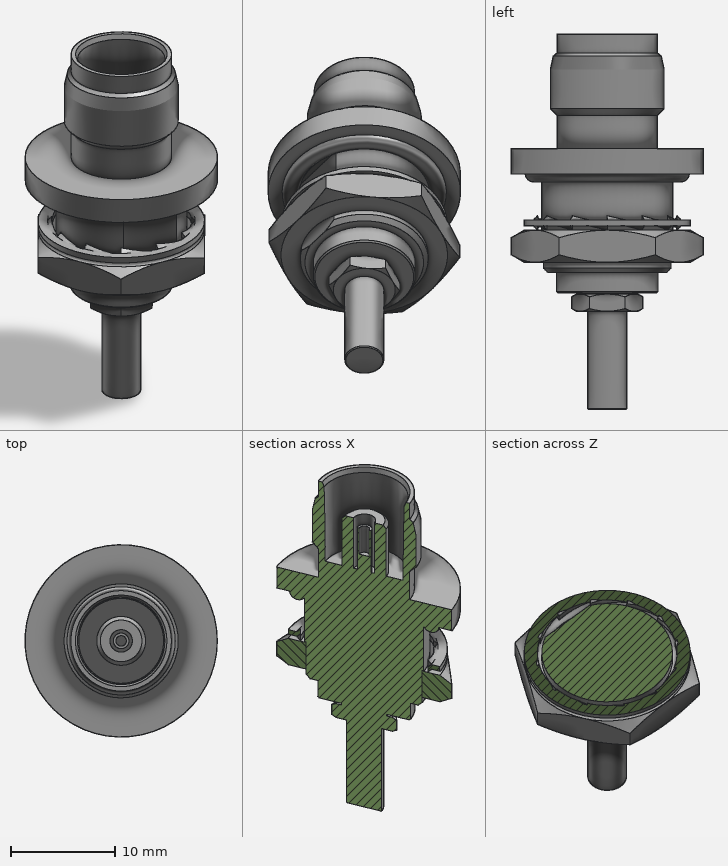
import cadquery as cq
import math


overall_length = 36.1
rim_z = 13.47
barrel_radius = 4.83
collar_radius = 5.48
collar_shoulder_radius = 5.2
collar_top_z = 11.65
collar_shoulder_z = 11.35
collar_taper_end_z = 10.05
collar_bottom_z = 6.3
collar_chamfer = collar_radius - barrel_radius

cup_mouth_radius = 4.4
cup_step_radius = 4.2
cup_floor_radius = 4.08
cup_step_depth = 0.5
cup_depth = 9.0

post_radius = 2.35
post_chamfer = 0.35
post_depth = 3.23
post_bore_radius = 1.08
contact_radius = 0.75
contact_bore_radius = 0.5
contact_recess = 1.0
contact_bore_depth = 3.0

flange_radius = 9.25
flange_thickness = 2.45
bead_ring_radius = 7.05
bead_section_radius = 0.85
bead_drop = 0.75

shank_radius = 6.3
thread_radius = 6.15
thread_chamfer = 0.45
thread_bottom_z = -9.45
flat_x = 5.57
rear_radius = 4.9
rear_bottom_z = -11.4
rear_chamfer = 0.15
crimp_hex_across_flats = 5.95
crimp_neck_radius = 2.4
crimp_neck_length = 0.12
crimp_hex_bottom_z = -13.17
tube_radius = 1.88
tube_chamfer = 0.1
tube_bottom_z = rim_z - overall_length

nut_across_flats = 16.0
nut_height = 3.08
nut_top_z = -5.38
hex_chamfer_angle = 30.0

washer_radius = 8.0
washer_inner_radius = 7.1
washer_thickness = 0.58
washer_mid_z = -4.68
tooth_count = 12
tooth_tip_radius = 6.7
tooth_root_overlap = 0.3
tooth_tip_lift = 0.4
tooth_sections = 4


def revolve_profile(points):
    """Revolve a closed (radius, z) outline about the Z axis."""
    return cq.Workplane("XZ").polyline(points).close().revolve(360, (0, 0), (0, 1))


def cylinder(radius, bottom_z, top_z):
    return cq.Workplane("XY").workplane(offset=bottom_z).circle(radius).extrude(top_z - bottom_z)


def chamfered_hex(across_flats, bottom_z, top_z):
    """Hexagon with corners on +Y and -Y, its corners turned off conically at both ends."""
    corner_radius = across_flats / math.sqrt(3)
    end_radius = across_flats / 2
    drop = (corner_radius - end_radius) * math.tan(math.radians(hex_chamfer_angle))
    half_facet_turn = 30
    prism = (
        cq.Workplane("XY")
        .workplane(offset=bottom_z)
        .polygon(6, 2 * corner_radius)
        .extrude(top_z - bottom_z)
        .rotate((0, 0, 0), (0, 0, 1), half_facet_turn)
    )
    envelope = revolve_profile([
        (0, bottom_z),
        (end_radius, bottom_z),
        (corner_radius, bottom_z + drop),
        (corner_radius, top_z - drop),
        (end_radius, top_z),
        (0, top_z),
    ])
    return prism.intersect(envelope)


def make_socket():
    """Barrel with its collar, from the flange up to the rim."""
    return revolve_profile([
        (0, 0),
        (barrel_radius, 0),
        (barrel_radius, collar_bottom_z - collar_chamfer),
        (collar_radius, collar_bottom_z),
        (collar_radius, collar_taper_end_z),
        (collar_shoulder_radius, collar_shoulder_z),
        (barrel_radius, collar_top_z),
        (barrel_radius, rim_z),
        (0, rim_z),
    ])


def make_cup():
    """Slightly tapered cavity of the socket with a flared mouth."""
    return revolve_profile([
        (0, rim_z - cup_depth),
        (cup_floor_radius, rim_z - cup_depth),
        (cup_step_radius, rim_z - cup_step_depth),
        (cup_mouth_radius, rim_z),
        (0, rim_z),
    ])


def make_post():
    """Insulator post on the cup floor with the hollow centre contact in its bore."""
    floor_z = rim_z - cup_depth
    post_top_z = rim_z - post_depth
    contact_top_z = post_top_z - contact_recess
    post = cylinder(post_radius, floor_z, post_top_z).faces(">Z").chamfer(post_chamfer)
    bore = cylinder(post_bore_radius, floor_z, post_top_z)
    contact = cylinder(contact_radius, floor_z, contact_top_z)
    contact_bore = cylinder(contact_bore_radius, contact_top_z - contact_bore_depth, contact_top_z)
    return post.cut(bore).union(contact).cut(contact_bore)


def make_bead():
    """Lower part of a round-section ring showing below the flange."""
    half_width = math.sqrt(bead_drop * (2 * bead_section_radius - bead_drop))
    return (
        cq.Workplane("XZ")
        .moveTo(bead_ring_radius - half_width, 0)
        .threePointArc((bead_ring_radius, -bead_drop), (bead_ring_radius + half_width, 0))
        .close()
        .revolve(360, (0, 0), (0, 1))
    )


def make_shank():
    """Plain shank and thread with one flat along the +X side."""
    plain = cylinder(shank_radius, nut_top_z, 0)
    thread = cylinder(thread_radius, thread_bottom_z, nut_top_z).faces("<Z").chamfer(thread_chamfer)
    shank = plain.union(thread)
    flat_cutter = cq.Workplane("XY").box(
        shank_radius, 2 * shank_radius, -thread_bottom_z, centered=(False, True, False)
    )
    return shank.cut(flat_cutter.translate((flat_x, 0, thread_bottom_z)))


def make_rear():
    """Rear cylinder, short neck, crimp hexagon and tube."""
    cap = cylinder(rear_radius, rear_bottom_z, thread_bottom_z).faces("<Z").chamfer(rear_chamfer)
    crimp_hex_top_z = rear_bottom_z - crimp_neck_length
    neck = cylinder(crimp_neck_radius, crimp_hex_top_z, rear_bottom_z)
    crimp_hex = chamfered_hex(crimp_hex_across_flats, crimp_hex_bottom_z, crimp_hex_top_z)
    tube = cylinder(tube_radius, tube_bottom_z, crimp_hex_bottom_z).faces("<Z").chamfer(tube_chamfer)
    return cap.union(neck).union(crimp_hex).union(tube)


def make_connector():
    flange = cylinder(flange_radius, 0, flange_thickness)
    socket = flange.union(make_socket()).cut(make_cup()).union(make_post())
    return socket.union(make_shank()).union(make_bead()).union(make_rear())


def make_nut():
    nut_bottom_z = nut_top_z - nut_height
    hexagon = chamfered_hex(nut_across_flats, nut_bottom_z, nut_top_z)
    return hexagon.cut(cylinder(thread_radius, nut_bottom_z, nut_top_z))


def tooth_section(angle, tip_shift):
    """Radial section of a tooth: flat root inside the ring, tip shifted along Z."""
    half = washer_thickness / 2
    outline = [
        (washer_inner_radius + tooth_root_overlap, half),
        (washer_inner_radius, half),
        (tooth_tip_radius, tip_shift + half),
        (tooth_tip_radius, tip_shift - half),
        (washer_inner_radius, -half),
        (washer_inner_radius + tooth_root_overlap, -half),
    ]
    points = [
        cq.Vector(r * math.cos(angle), r * math.sin(angle), washer_mid_z + z) for r, z in outline
    ]
    return cq.Wire.makePolygon(points, close=True)


def make_tooth():
    """Tooth twisted from tip up at its first edge to tip down at its last."""
    pitch = 2 * math.pi / tooth_count
    sections = []
    for i in range(tooth_sections + 1):
        share = i / tooth_sections
        sections.append(tooth_section(share * pitch, tooth_tip_lift * (1 - 2 * share)))
    return cq.Workplane(cq.Solid.makeLoft(sections, True))


def make_washer():
    bottom_z = washer_mid_z - washer_thickness / 2
    top_z = washer_mid_z + washer_thickness / 2
    washer = cylinder(washer_radius, bottom_z, top_z).cut(cylinder(washer_inner_radius, bottom_z, top_z))
    tooth = make_tooth()
    for i in range(tooth_count):
        washer = washer.union(tooth.rotate((0, 0, 0), (0, 0, 1), i * 360 / tooth_count))
    return washer


connector = make_connector()
nut = make_nut()
washer = make_washer()

result = cq.Compound.makeCompound([
    connector.solids().val(),
    nut.solids().val(),
    washer.solids().val(),
])